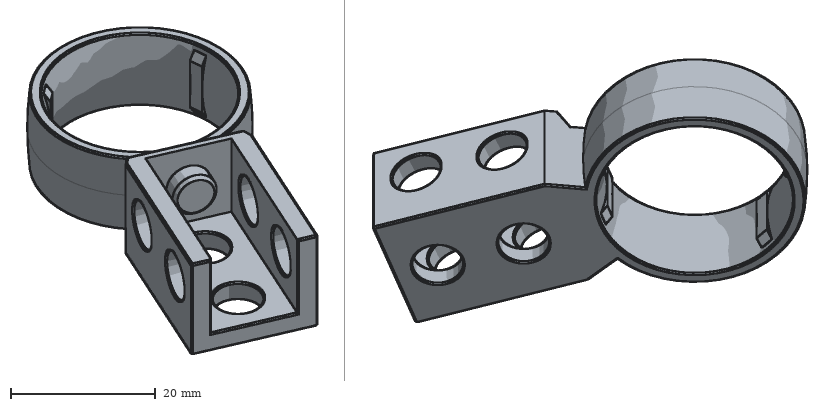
import cadquery as cq
import math

total_length = 59.4
total_height = 15.6
edge_chamfer = 0.25

ring_height = 12.45
outer_mid_radius = 15.59
outer_end_radius = 15.29
bore_mid_radius = 12.45
bore_end_radius = 13.6
ring_mid_z = ring_height / 2

fork_width = 18.75
wall = 3.0
fork_start = 18.7
neck_angle = 25
neck_start = 11.9
slope_foot = 15.5
slope_angle = 60
pocket_start = 18.5
fork_end = total_length - outer_mid_radius

hole_diameter = 7.0
hole_chamfer = 0.25
hole_spacing = 12.5
end_margin = 6.35
last_hole_x = fork_end - end_margin
hole_positions = (last_hole_x - hole_spacing, last_hole_x)
hole_z = (wall + total_height) / 2

stud_diameter = 6.55
stud_length = 2.85
stud_chamfer = 0.55

rib_count = 3
rib_width = 2.15
rib_projection = 0.1
rib_face_height = 7.95
rib_taper_height = 1.3
rib_taper_depth = 0.95


def bulged_solid(end_radius, mid_radius, end_step):
    """Round solid whose side bulges at mid-height; its end chamfers change the radius by end_step."""
    low = edge_chamfer
    high = ring_height - edge_chamfer
    arc_rise = (high - low) / 2
    sagitta = mid_radius - end_radius
    arc_radius = (arc_rise**2 + sagitta**2) / (2 * sagitta)
    arc_center = mid_radius - arc_radius
    quarter_rise = arc_rise / 2
    quarter_reach = math.copysign(math.sqrt(arc_radius**2 - quarter_rise**2), arc_radius)
    quarter_radius = arc_center + quarter_reach
    return (
        cq.Workplane("XZ")
        .lineTo(end_radius + end_step, 0)
        .lineTo(end_radius, low)
        .threePointArc((quarter_radius, ring_mid_z - quarter_rise), (mid_radius, ring_mid_z))
        .threePointArc((quarter_radius, ring_mid_z + quarter_rise), (end_radius, high))
        .lineTo(end_radius + end_step, ring_height)
        .lineTo(0, ring_height)
        .close()
        .revolve(360, (0, 0, 0), (0, 1, 0))
    )


def fork_block():
    """Neck and arms as one block with a sloped shoulder down to the ring top."""
    half_width = fork_width / 2
    neck_half_width = half_width - (fork_start - neck_start) * math.tan(math.radians(neck_angle))
    block = (
        cq.Workplane("XY")
        .polyline([
            (neck_start, -neck_half_width),
            (fork_start, -half_width),
            (fork_end, -half_width),
            (fork_end, half_width),
            (fork_start, half_width),
            (neck_start, neck_half_width),
        ])
        .close()
        .extrude(total_height)
    )
    slope_run = (total_height - ring_height) / math.tan(math.radians(slope_angle))
    shoulder = (
        cq.Workplane("XZ")
        .polyline([
            (neck_start, ring_height),
            (slope_foot, ring_height),
            (slope_foot + slope_run, total_height),
            (neck_start, total_height),
        ])
        .close()
        .extrude(half_width, both=True)
    )
    block = block.cut(shoulder).faces(">Z or <Z").edges("not(>X)").chamfer(edge_chamfer)
    return block.cut(fork_pocket()).faces(">X").edges().chamfer(edge_chamfer)


def fork_pocket():
    """Space between the arms, above the floor and open at the far end."""
    return cq.Workplane("XY").box(
        fork_end - pocket_start,
        fork_width - 2 * wall,
        total_height - wall,
        centered=(False, True, False),
    ).translate((pocket_start, 0, wall))


def hole_through_wall(start, direction):
    """Cutter for a hole through one wall, chamfered at both faces."""
    radius = hole_diameter / 2
    mouth = radius + hole_chamfer
    profile = (
        cq.Workplane("XZ")
        .polyline([
            (0, 0),
            (mouth, 0),
            (radius, hole_chamfer),
            (radius, wall - hole_chamfer),
            (mouth, wall),
            (0, wall),
        ])
        .close()
        .revolve(360, (0, 0, 0), (0, 1, 0))
    )
    plane = cq.Plane(origin=start, xDir=(1, 0, 0), normal=direction)
    return cq.Workplane(profile.val().moved(cq.Location(plane)))


def stud():
    """Chamfered round stud pointing from the pocket end wall towards the arms."""
    return (
        cq.Workplane("YZ", origin=(pocket_start, 0, hole_z))
        .circle(stud_diameter / 2)
        .extrude(stud_length)
        .faces(">X")
        .chamfer(stud_chamfer)
    )


def rib():
    """Flat-faced rib with tapered ends, rooted in the ring wall on the +X side."""
    half_face = rib_face_height / 2
    half_root = half_face + rib_taper_height
    face_x = bore_mid_radius - rib_projection
    root_x = face_x + rib_taper_depth
    inside_wall_x = (bore_end_radius + outer_end_radius) / 2
    return (
        cq.Workplane("XZ")
        .polyline([
            (face_x, ring_mid_z - half_face),
            (root_x, ring_mid_z - half_root),
            (inside_wall_x, ring_mid_z - half_root),
            (inside_wall_x, ring_mid_z + half_root),
            (root_x, ring_mid_z + half_root),
            (face_x, ring_mid_z + half_face),
        ])
        .close()
        .extrude(rib_width / 2, both=True)
    )


body = bulged_solid(outer_end_radius, outer_mid_radius, -edge_chamfer).union(fork_block())
body = body.cut(bulged_solid(bore_end_radius, bore_mid_radius, edge_chamfer))
body = body.union(stud())

for hole_x in hole_positions:
    body = body.cut(hole_through_wall((hole_x, 0, 0), (0, 0, 1)))
    for side in (-1, 1):
        body = body.cut(hole_through_wall((hole_x, side * fork_width / 2, hole_z), (0, -side, 0)))

for index in range(rib_count):
    body = body.union(rib().rotate((0, 0, 0), (0, 0, 1), index * 360 / rib_count))

result = body